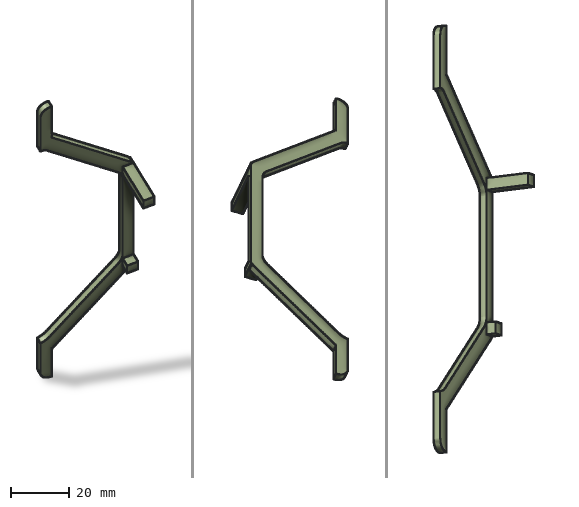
import cadquery as cq
import math

height = 149.5
depth = 35.4
plate_thickness = 2.7

spine_width = 4.2
tab_width = 4.3
top_tab_length = 17.2
bottom_tab_length = 15.2
leg_height = 8.0
top_front_length = 22.5
bottom_front_length = 20.6
top_blend_run = 2.5
bottom_blend_run = 3.5
top_tip_radius = 3.7
bottom_tip_radius = 4.0
inner_bend_radius = 5.7
outer_bend_radius = 3.6

peg_size = 4.2
long_peg_length = 16.5
short_peg_length = 3.6

front_y = -depth
tab_back_y = front_y + tab_width
leg_run = depth - tab_width

top_knee_z = height - top_tab_length - leg_run
bottom_knee_z = bottom_tab_length + leg_run
top_inner_z = top_knee_z + spine_width - leg_height
bottom_inner_z = bottom_knee_z - spine_width + leg_height


def leg_blend_start(run, inner_z, z_direction):
    """Point where a leg's inner edge starts to curve into its tab."""
    y = front_y + run
    z = inner_z + z_direction * (-spine_width - y)
    return y, z


def tangent_arc_middle(start, end, z_direction):
    """Midpoint of the arc that leaves start along a 45 degree leg and reaches end."""
    leg_angle = math.atan2(z_direction, -1)
    chord_y = end[0] - start[0]
    chord_z = end[1] - start[1]
    chord_angle = math.atan2(chord_z, chord_y)
    turn = math.remainder(chord_angle - leg_angle, 2 * math.pi)
    half_angle = leg_angle + turn / 2
    half_chord = math.hypot(chord_y, chord_z) / 2 / math.cos(turn / 2)
    y = start[0] + half_chord * math.cos(half_angle)
    z = start[1] + half_chord * math.sin(half_angle)
    return y, z


def make_strip():
    top_blend = leg_blend_start(top_blend_run, top_inner_z, 1)
    bottom_blend = leg_blend_start(bottom_blend_run, bottom_inner_z, -1)
    top_front = (front_y, height - top_front_length)
    bottom_front = (front_y, bottom_front_length)
    top_blend_middle = tangent_arc_middle(top_blend, top_front, 1)
    bottom_blend_middle = tangent_arc_middle(bottom_blend, bottom_front, -1)
    return (
        cq.Workplane("YZ")
        .moveTo(tab_back_y, height)
        .lineTo(tab_back_y, height - top_tab_length)
        .lineTo(0, top_knee_z)
        .lineTo(0, bottom_knee_z)
        .lineTo(tab_back_y, bottom_tab_length)
        .lineTo(tab_back_y, 0)
        .lineTo(front_y, 0)
        .lineTo(*bottom_front)
        .threePointArc(bottom_blend_middle, bottom_blend)
        .lineTo(-spine_width, bottom_inner_z)
        .lineTo(-spine_width, top_inner_z)
        .lineTo(*top_blend)
        .threePointArc(top_blend_middle, top_front)
        .lineTo(front_y, height)
        .close()
        .extrude(plate_thickness)
    )


def round_corner(body, y, z, radius):
    """Round the edge along X that passes through the given profile corner."""
    corner = cq.selectors.NearestToPointSelector((plate_thickness / 2, y, z))
    return body.edges("|X").edges(corner).fillet(radius)


def make_peg(bottom_z, length):
    return (
        cq.Workplane("XY")
        .box(plate_thickness + length, peg_size, peg_size, centered=False)
        .translate((0, -peg_size, bottom_z))
    )


strip = make_strip()
rounded_corners = [
    (front_y, height, top_tip_radius),
    (front_y, 0, bottom_tip_radius),
    (-spine_width, top_inner_z, inner_bend_radius),
    (-spine_width, bottom_inner_z, inner_bend_radius),
    (0, top_knee_z, outer_bend_radius),
    (0, bottom_knee_z, outer_bend_radius),
]
for corner_y, corner_z, corner_radius in rounded_corners:
    strip = round_corner(strip, corner_y, corner_z, corner_radius)

long_peg = make_peg(top_knee_z - peg_size, long_peg_length)
short_peg = make_peg(bottom_knee_z, short_peg_length)
result = strip.union(long_peg).union(short_peg)